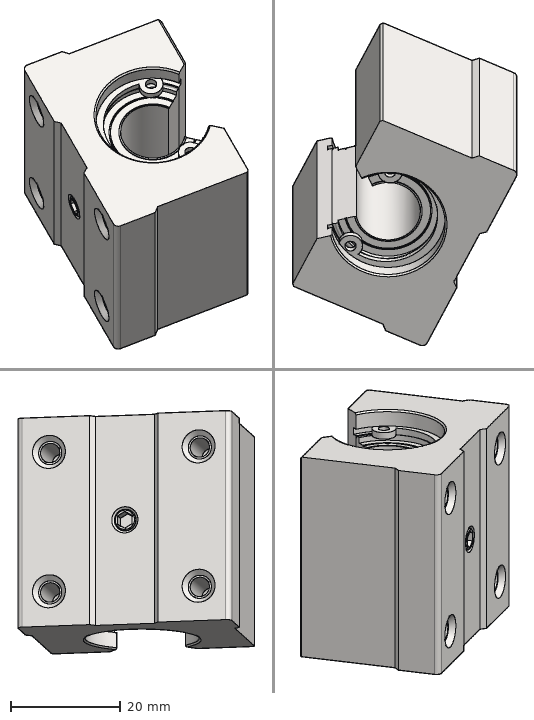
import cadquery as cq
import math


width = 40.0
upper_width = 38.0
height = 27.5
length = 39.0
axis_height = 17.0
shoulder_height = 8.0
base_fillet = 1.0
top_chamfer = 0.4
end_edge_chamfer = 0.5
relief_width = 12.8
relief_depth = 1.0
relief_slope_run = 0.9

half_width = width / 2
half_upper_width = upper_width / 2
half_length = length / 2
base_y = -axis_height
top_y = height - axis_height
relief_floor_y = base_y + relief_depth

bore_radius = 10.5
bore_chamfer = 0.3
opening_half_angle = 40.0
opening_apex_y = 0.7
groove_radius = 11.4
groove_depth = 3.1
ring_thickness = 1.3

hole_spacing_x = 28.0
hole_spacing_z = 26.0
hole_radius = 1.8
hole_depth = 12.0
countersink_radius = 3.1
countersink_floor_radius = 2.15
countersink_depth = 1.1
drill_tip_half_angle = 59.0
drill_tip_depth = hole_radius / math.tan(math.radians(drill_tip_half_angle))

screw_radius = 2.0
screw_countersink_radius = 2.45
screw_chamfer = 0.2
screw_countersink_depth = screw_countersink_radius - screw_radius
hex_across_flats = 2.7
hex_depth = 2.6

bearing_end_z = half_length - groove_depth - ring_thickness
bearing_bore_radius = 5.9
bearing_fillet = 0.55
recess_radius = 9.35
recess_depth = 1.1
recess_floor_z = bearing_end_z - recess_depth
seal_groove_radius = 8.05
seal_groove_width = 0.25
seal_groove_depth = 0.2
lip_radius = 6.25
lip_height = 0.15

ring_inner_radius = 9.45
ring_inner_offset = 0.4
lug_radius = 2.2
lug_hole_radius = 1.0
lug_x = 8.45
lug_y = 3.6


def disc(radius, z_low, z_high, x=0, y=0):
    return cq.Workplane("XY", origin=(x, y, z_low)).circle(radius).extrude(z_high - z_low)


def turned(points, axis):
    """Revolve an outline of (radius, position along the axis) points about the Y or Z axis."""
    plane = {"Y": "XY", "Z": "XZ"}[axis]
    return cq.Workplane(plane).polyline(points).close().revolve(360, (0, 0, 0), (0, 1, 0))


def at_both_ends(upper):
    """The shape together with its mirror image below Z = 0."""
    return [upper, upper.mirror("XY")]


def opening():
    """Wedge open toward +Y that cuts through the block and leaves the bore C-shaped."""
    reach = height
    mouth = (reach - opening_apex_y) * math.tan(math.radians(opening_half_angle))
    corners = [(0, opening_apex_y), (mouth, reach), (-mouth, reach)]
    return cq.Workplane("XY").polyline(corners).close().extrude(half_length, both=True)


def housing_blank():
    half_relief = relief_width / 2
    shoulder_y = base_y + shoulder_height
    right_side = [
        (half_relief - relief_slope_run, relief_floor_y),
        (half_relief, base_y),
        (half_width, base_y),
        (half_width, shoulder_y),
        (half_upper_width, shoulder_y + half_width - half_upper_width),
        (half_upper_width, top_y - top_chamfer),
        (half_upper_width - top_chamfer, top_y),
    ]
    left_side = [(-x, y) for x, y in reversed(right_side)]
    blank = cq.Workplane("XY").polyline(right_side + left_side).close().extrude(half_length, both=True)
    for x in (-half_width, half_width):
        blank = blank.edges(cq.NearestToPointSelector((x, base_y, 0))).fillet(base_fillet)
    return blank


def bore_cutter():
    cutter = disc(bore_radius, -half_length, half_length)
    mouth = turned(
        [
            (0, half_length),
            (bore_radius + bore_chamfer, half_length),
            (bore_radius, half_length - bore_chamfer),
            (0, half_length - bore_chamfer),
        ],
        "Z",
    )
    groove = disc(groove_radius, bearing_end_z, half_length - groove_depth)
    for feature in at_both_ends(mouth) + at_both_ends(groove):
        cutter = cutter.union(feature)
    return cutter


def mounting_hole(x, z):
    hole = turned(
        [
            (0, 0),
            (countersink_radius, 0),
            (countersink_floor_radius, countersink_depth),
            (hole_radius, countersink_depth),
            (hole_radius, hole_depth),
            (0, hole_depth + drill_tip_depth),
        ],
        "Y",
    )
    return hole.translate((x, base_y, z))


def screw_hole():
    return turned(
        [
            (0, relief_floor_y),
            (screw_countersink_radius, relief_floor_y),
            (screw_radius, relief_floor_y + screw_countersink_depth),
            (screw_radius, 0),
            (0, 0),
        ],
        "Y",
    )


def make_housing():
    body = housing_blank().cut(opening()).cut(bore_cutter()).cut(screw_hole())
    for x in (-hole_spacing_x / 2, hole_spacing_x / 2):
        for z in (-hole_spacing_z / 2, hole_spacing_z / 2):
            body = body.cut(mounting_hole(x, z))
    jaw_edge = cq.NearestToPointSelector((-half_upper_width, top_y, half_length))
    return body.faces(">Y").edges(">Z").edges(jaw_edge).chamfer(end_edge_chamfer)


def make_bearing():
    body = disc(bore_radius, -bearing_end_z, bearing_end_z).faces("<Z or >Z").fillet(bearing_fillet)
    recess = disc(recess_radius, recess_floor_z, bearing_end_z)
    seal_groove = disc(seal_groove_radius, recess_floor_z - seal_groove_depth, recess_floor_z).cut(
        disc(seal_groove_radius - seal_groove_width, recess_floor_z - seal_groove_depth, recess_floor_z)
    )
    for feature in at_both_ends(recess) + at_both_ends(seal_groove):
        body = body.cut(feature)
    lip_end_z = recess_floor_z + lip_height
    body = body.union(disc(lip_radius, -lip_end_z, lip_end_z))
    body = body.cut(disc(bearing_bore_radius, -bearing_end_z, bearing_end_z))
    return body.cut(opening())


def make_upper_ring():
    low = bearing_end_z
    high = low + ring_thickness
    outer = disc(groove_radius, low, high)
    below_lugs = cq.Workplane("XY", origin=(0, lug_y - groove_radius, low))
    below_lugs = below_lugs.rect(2 * groove_radius, 2 * groove_radius).extrude(ring_thickness)
    ring = outer.cut(disc(ring_inner_radius, low, high, y=ring_inner_offset)).intersect(below_lugs)
    for side in (-1, 1):
        x = side * lug_x
        ring = ring.union(disc(lug_radius, low, high, x, lug_y))
        ring = ring.cut(disc(lug_hole_radius, low, high, x, lug_y))
    return ring


def make_set_screw():
    screw = turned(
        [
            (0, relief_floor_y),
            (screw_radius - screw_chamfer, relief_floor_y),
            (screw_radius, relief_floor_y + screw_chamfer),
            (screw_radius, -bore_radius),
            (0, -bore_radius),
        ],
        "Y",
    )
    hex_diameter = hex_across_flats / math.cos(math.radians(30))
    socket = cq.Workplane("XZ", origin=(0, relief_floor_y, 0)).transformed(rotate=(0, 0, 30))
    socket = socket.polygon(6, hex_diameter).extrude(-hex_depth)
    return screw.cut(socket)


housing = make_housing()
bearing = make_bearing()
rings = at_both_ends(make_upper_ring())
set_screw = make_set_screw()

result = cq.Compound.makeCompound(
    [housing.val(), bearing.val(), *[ring.val() for ring in rings], set_screw.val()]
)